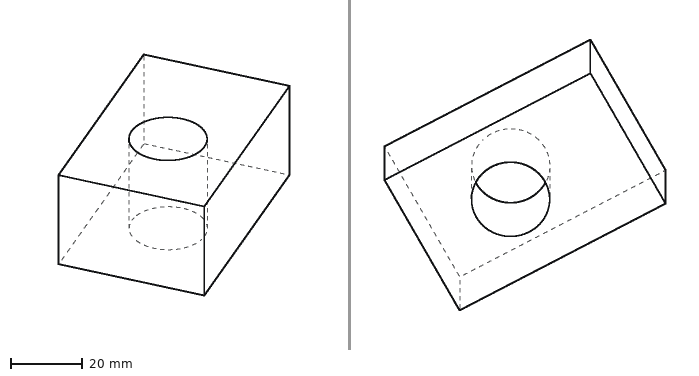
import cadquery as cq

length = 66.0
width = 44.0
height = 30.0

hole_diameter = 22.0
hole_center_from_front = 28.4

block = cq.Workplane("XY").box(width, length, height)

result = (
    block.faces(">Z")
    .workplane(origin=(0, hole_center_from_front - length / 2, 0))
    .hole(hole_diameter)
)